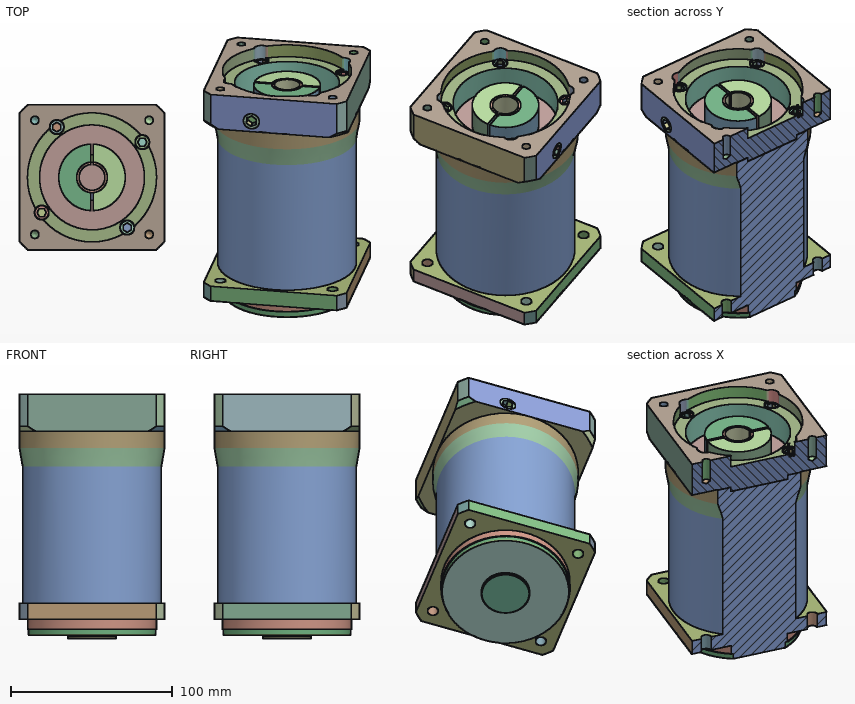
import cadquery as cq
import math

total_height = 151.5
square_width = 90.0
corner_turning_radius = 60.0
mount_hole_circle_radius = 50.0

disc_radius = 15.0
disc_height = 2.0
disc_chamfer = 0.4
pilot_tip_radius = 39.5
pilot_tip_chamfer_width = 0.3
pilot_tip_chamfer_height = 1.0
pilot_radius = 40.0
pilot_step_level = 6.0
flange_bottom = 12.0
flange_thickness = 10.0
flange_hole_radius = 3.25
barrel_radius = 43.0
barrel_top = 106.5
cone_top = 118.0
collar_radius = square_width / 2

adapter_height = 23.0
adapter_bottom = total_height - adapter_height
spigot_depth = 3.0
spigot_radius = 40.0
cavity_floor = adapter_bottom - spigot_depth
cavity_radius = 32.5
motor_pilot_radius = 40.0
motor_pilot_depth = 8.0
ledge = total_height - motor_pilot_depth
corner_chamfer = 3.0
motor_hole_radius = 2.5
motor_hole_depth = 15.0
drill_tip_angle = 118.0

screw_circle_radius = 38.0
screw_first_angle = 35.0
screw_pocket_radius = 4.5
screw_pocket_depth = 2.0
screw_pocket_mouth_fillet = 1.5
screw_head_radius = 4.25
screw_head_recess = 1.0
screw_hex_width = 5.0
screw_hex_depth = 3.0

hub_radius = 20.6
hub_top = total_height - 9.4
bushing_outer_radius = 9.5
bushing_bore_radius = 8.0
slit_width = 1.6
sleeve_radius = 14.05
sleeve_height = 4.0

plug_radius = 5.0
plug_length = 8.0
plug_y = 14.0
plug_z = 135.5
plug_hex_width = 6.0
plug_hex_depth = 5.0
plug_hex_angle = 35.0


def cylinder(radius, bottom, top, x=0.0, y=0.0):
    return cq.Workplane("XY", origin=(x, y, bottom)).circle(radius).extrude(top - bottom)


def revolved(profile):
    """Turn a list of (radius, level) points around Z."""
    return cq.Workplane("XZ").polyline(profile).close().revolve(360, (0, 0, 0), (0, 1, 0))


def square_block(bottom, top):
    return cq.Workplane("XY", origin=(0, 0, bottom)).rect(square_width, square_width).extrude(top - bottom)


def around(count, radius, first_angle):
    """Centres of equally spaced features on a circle."""
    angles = [math.radians(first_angle + 360 / count * k) for k in range(count)]
    return [(radius * math.cos(a), radius * math.sin(a)) for a in angles]


def hexagon_prism(plane, width, depth):
    """A hexagon of the given width across flats, extruded along the plane's normal."""
    return cq.Workplane(plane).polygon(6, width / math.cos(math.pi / 6)).extrude(depth)


corner_holes = around(4, mount_hole_circle_radius, 45)


def make_housing():
    flange_top = flange_bottom + flange_thickness
    body = revolved([
        (0, disc_height),
        (pilot_tip_radius - pilot_tip_chamfer_width, disc_height),
        (pilot_tip_radius, disc_height + pilot_tip_chamfer_height),
        (pilot_tip_radius, pilot_step_level),
        (pilot_radius, pilot_step_level),
        (pilot_radius, flange_bottom),
        (barrel_radius, flange_bottom),
        (barrel_radius, barrel_top),
        (collar_radius, cone_top),
        (collar_radius, adapter_bottom),
        (0, adapter_bottom),
    ])
    flange = square_block(flange_bottom, flange_top)
    flange = flange.intersect(cylinder(corner_turning_radius, flange_bottom, flange_top))
    disc = cylinder(disc_radius, 0, disc_height).edges().chamfer(disc_chamfer)
    body = body.union(flange).union(disc)
    for x, y in corner_holes:
        body = body.cut(cylinder(flange_hole_radius, flange_bottom, flange_top, x, y))
    return body.cut(cylinder(spigot_radius, cavity_floor, adapter_bottom))


def motor_hole(x, y):
    """A blind drilled hole with a conical tip."""
    bottom = total_height - motor_hole_depth
    tip_height = motor_hole_radius / math.tan(math.radians(drill_tip_angle / 2))
    tip = cq.Solid.makeCone(
        0, motor_hole_radius, tip_height, pnt=(x, y, bottom - tip_height), dir=(0, 0, 1)
    )
    return cylinder(motor_hole_radius, bottom, total_height, x, y).union(cq.Workplane(tip))


def add_screw(plate, x, y, hex_angle):
    """Sink a pocket into the ledge, with a screw head and its hexagon socket inside."""
    pocket_floor = ledge - screw_pocket_depth
    head_top = ledge - screw_head_recess
    pocket = cylinder(screw_pocket_radius, pocket_floor, ledge, x, y)
    head = cylinder(screw_head_radius, pocket_floor, head_top, x, y)
    hex_plane = cq.Plane(
        (x, y, head_top - screw_hex_depth), (math.cos(hex_angle), math.sin(hex_angle), 0), (0, 0, 1)
    )
    socket = hexagon_prism(hex_plane, screw_hex_width, screw_hex_depth)
    return plate.cut(pocket).union(head).cut(socket)


def plug_blank():
    """The plug without its hexagon, which is also the shape of the hole it fills."""
    plug_face = cq.Workplane("YZ", origin=(-square_width / 2, plug_y, plug_z))
    return plug_face.circle(plug_radius).extrude(plug_length)


def make_adapter():
    chamfer_radius = corner_turning_radius - corner_chamfer
    blank = revolved([
        (0, adapter_bottom),
        (chamfer_radius, adapter_bottom),
        (corner_turning_radius, adapter_bottom + corner_chamfer),
        (corner_turning_radius, total_height),
        (0, total_height),
    ])
    plate = square_block(adapter_bottom, total_height).intersect(blank)
    plate = plate.union(cylinder(spigot_radius, cavity_floor, adapter_bottom))

    recess = cylinder(motor_pilot_radius, ledge, total_height)
    screw_centres = around(4, screw_circle_radius, screw_first_angle)
    for x, y in screw_centres:
        recess = recess.union(cylinder(screw_pocket_radius, ledge, total_height, x, y))
    recess = recess.edges("|Z").fillet(screw_pocket_mouth_fillet)
    plate = plate.cut(recess).cut(cylinder(cavity_radius, cavity_floor, total_height))

    for k, (x, y) in enumerate(screw_centres):
        plate = add_screw(plate, x, y, math.pi / 2 * k)
    for x, y in corner_holes:
        plate = plate.cut(motor_hole(x, y))

    return plate.cut(plug_blank())


def make_hub():
    """A clamping ring, slit on both sides down to a short unslit sleeve around the bore."""
    hub = cylinder(hub_radius, cavity_floor, hub_top)
    hub = hub.cut(cylinder(bushing_outer_radius, cavity_floor, hub_top))
    slit = cq.Workplane("XY", origin=(0, 0, cavity_floor)).rect(slit_width, 2 * hub_radius)
    slit = slit.extrude(hub_top - cavity_floor)
    slit = slit.cut(cylinder(sleeve_radius, cavity_floor, cavity_floor + sleeve_height))
    return hub.cut(slit)


def make_bushing():
    """A sleeve in the hub bore, split on its +Y side only."""
    sleeve = cylinder(bushing_outer_radius, cavity_floor, hub_top)
    sleeve = sleeve.cut(cylinder(bushing_bore_radius, cavity_floor, hub_top))
    split = cq.Workplane("XY", origin=(0, bushing_outer_radius / 2, cavity_floor))
    split = split.rect(slit_width, bushing_outer_radius).extrude(hub_top - cavity_floor)
    return sleeve.cut(split)


def make_plug():
    angle = math.radians(plug_hex_angle)
    hex_plane = cq.Plane(
        (-square_width / 2, plug_y, plug_z), (0, math.cos(angle), math.sin(angle)), (1, 0, 0)
    )
    return plug_blank().cut(hexagon_prism(hex_plane, plug_hex_width, plug_hex_depth))


housing = make_housing()
adapter = make_adapter()
hub = make_hub()
bushing = make_bushing()
plug = make_plug()

result = cq.Compound.makeCompound(
    [body.solids().val() for body in (housing, adapter, hub, bushing, plug)]
)